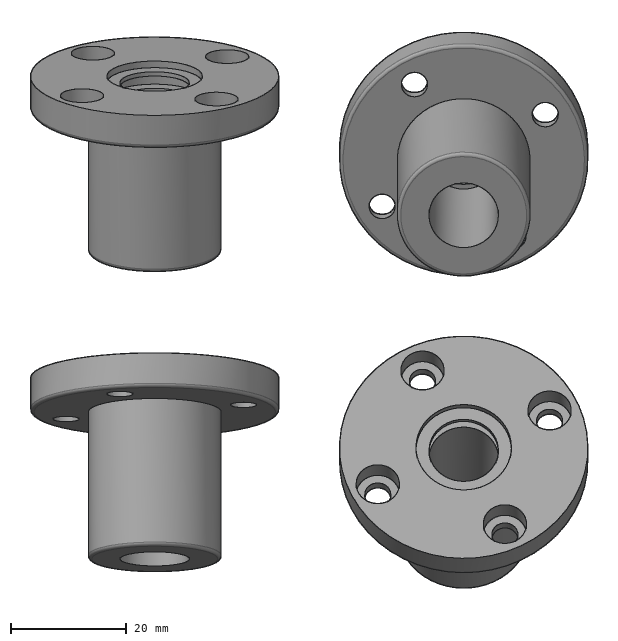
import cadquery as cq

flange_diameter = 43.0
flange_thickness = 6.0
sleeve_diameter = 23.0
total_height = 32.0
edge_radius = 0.6

bore_diameter = 12.0
recess_diameter = 16.5
recess_depth = 1.2
lip_thickness = 0.77
groove_diameter = recess_diameter
groove_height = 2.25

hole_count = 4
hole_circle_diameter = 33.0
hole_diameter = 4.5
counterbore_diameter = 7.5
counterbore_depth = 4.1


def cylinder(diameter, bottom, top):
    """Vertical cylinder on the part axis between two heights."""
    return cq.Workplane("XY").workplane(offset=bottom).circle(diameter / 2).extrude(top - bottom)


def make_body():
    """Flange on top of a sleeve, with their lower outer edges rounded."""
    flange_bottom = total_height - flange_thickness
    flange = cylinder(flange_diameter, flange_bottom, total_height).faces("<Z").edges().fillet(edge_radius)
    sleeve = cylinder(sleeve_diameter, 0, total_height).faces("<Z").edges().fillet(edge_radius)
    return flange.union(sleeve)


def cut_bore(body):
    """Through bore with a recess at the top and a groove below the lip."""
    recess_floor = total_height - recess_depth
    groove_top = recess_floor - lip_thickness
    body = body.cut(cylinder(bore_diameter, 0, total_height))
    body = body.cut(cylinder(recess_diameter, recess_floor, total_height))
    return body.cut(cylinder(groove_diameter, groove_top - groove_height, groove_top))


def cut_mounting_holes(body):
    """Counterbored holes through the flange, evenly spaced from the X axis."""
    return (
        body.faces(">Z")
        .workplane(origin=(0, 0, total_height))
        .polarArray(hole_circle_diameter / 2, 0, 360, hole_count)
        .cboreHole(hole_diameter, counterbore_diameter, counterbore_depth)
    )


result = cut_mounting_holes(cut_bore(make_body()))